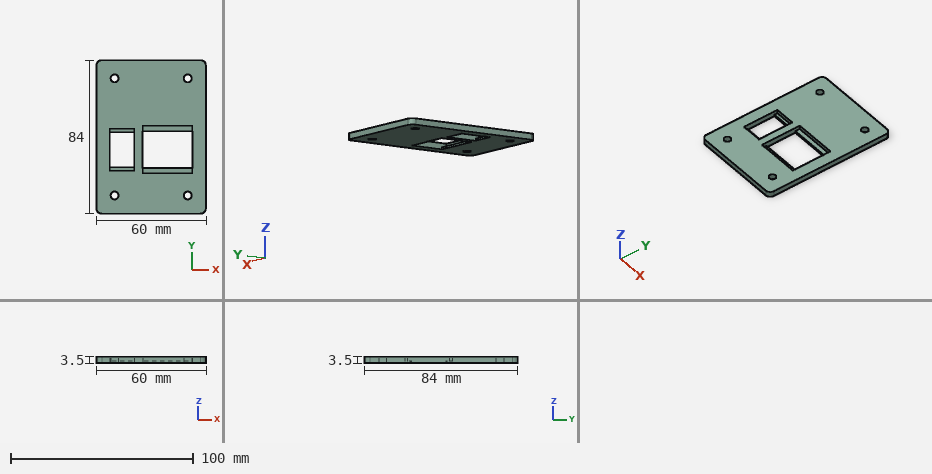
import cadquery as cq

plate_width = 60.0
plate_length = 84
plate_thickness = 3.5
corner_radius = 3.0

hole_diameter = 4.2
hole_inset = 10.0

window_center_y = -7.0
ledge_thickness = 1.2

small_center_x = -16
small_width = 13.2
small_recess_length = 23.0
small_opening_length = 19.0

large_center_x = 9.0
large_width = 27.2
large_recess_length = 26
large_opening_length = 20.0


def make_plate():
    return (
        cq.Workplane("XY")
        .box(plate_width, plate_length, plate_thickness, centered=(True, True, False))
        .edges("|Z")
        .fillet(corner_radius)
    )


def mounting_holes():
    return (
        cq.Workplane("XY")
        .rect(plate_width - 2 * hole_inset, plate_length - 2 * hole_inset, forConstruction=True)
        .vertices()
        .circle(hole_diameter / 2)
        .extrude(plate_thickness)
    )


def stepped_window(center_x, width, recess_length, opening_length):
    """Through opening with a longer recess of the same width above the ledges."""
    opening = (
        cq.Workplane("XY")
        .center(center_x, window_center_y)
        .rect(width, opening_length)
        .extrude(plate_thickness)
    )
    recess = (
        cq.Workplane("XY", origin=(0, 0, ledge_thickness))
        .center(center_x, window_center_y)
        .rect(width, recess_length)
        .extrude(plate_thickness - ledge_thickness)
    )
    return opening.union(recess)


small_window = stepped_window(small_center_x, small_width, small_recess_length, small_opening_length)
large_window = stepped_window(large_center_x, large_width, large_recess_length, large_opening_length)

result = make_plate().cut(mounting_holes()).cut(small_window).cut(large_window)